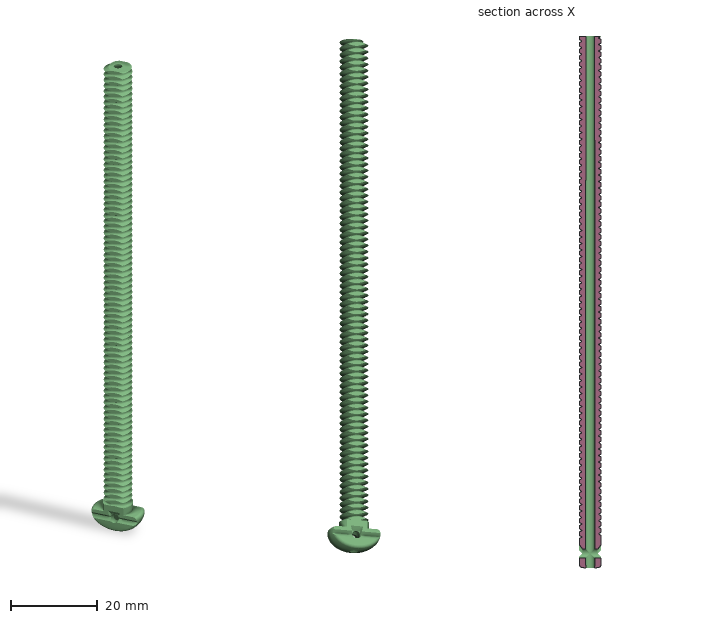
import cadquery as cq
import math

total_height = 122.5
body_width_y = 5.0
bore_diameter = 2.0

head_radius = 6.1
head_height = 5.0
rim_round = 0.7
dome_edge_round = 0.6

collar_radius = 3.49
collar_height = 1.8

thread_radius = 3.3
thread_angle = 60
segment_turns = 7
segment_count = 11
flank_steps = 12

groove_height = 3.4
groove_depth = 0.7
mouth_top = 5.4
mouth_half_width = 1.5

bore_radius = bore_diameter / 2
half_width = body_width_y / 2
collar_top = head_height + collar_height
thread_length = total_height - collar_top
segment_length = thread_length / segment_count
pitch = segment_length / segment_turns
root_radius = thread_radius - pitch / 2 / math.tan(math.radians(thread_angle / 2))


def make_slab():
    """Block as wide as the distance between the two flats."""
    return cq.Workplane("XY").box(2 * head_radius, body_width_y, total_height, centered=(True, True, False))


def make_head():
    """Elliptical dome below a disc with a rounded top edge, revolved about Z."""
    rim_height = head_height - rim_round
    bore_share = bore_radius / head_radius
    dome_depth = rim_height / math.sqrt(1 - bore_share**2)
    bore_edge_angle = -math.degrees(math.acos(bore_share))
    dome_edge = cq.Edge.makeEllipse(
        head_radius,
        dome_depth,
        pnt=cq.Vector(0, 0, rim_height),
        dir=cq.Vector(0, -1, 0),
        xdir=cq.Vector(1, 0, 0),
        angle1=bore_edge_angle,
        angle2=0,
    )
    upper_outline = (
        cq.Workplane("XZ")
        .moveTo(head_radius, rim_height)
        .radiusArc((head_radius - rim_round, head_height), -rim_round)
        .lineTo(0, head_height)
        .lineTo(0, 0)
        .lineTo(bore_radius, 0)
    )
    outline = cq.Wire.assembleEdges([dome_edge] + upper_outline.ctx.pendingEdges)
    return cq.Workplane(obj=cq.Solid.revolve(outline, [], 360, cq.Vector(0, 0, 0), cq.Vector(0, 0, 1)))


def make_collar():
    return cq.Workplane("XY").workplane(offset=head_height).circle(collar_radius).extrude(collar_height)


def make_groove(side):
    """V-shaped cutter running along X in one flat."""
    flat = side * half_width
    return (
        cq.Workplane("YZ")
        .moveTo(flat, groove_height - groove_depth)
        .lineTo(flat - side * groove_depth, groove_height)
        .lineTo(flat, groove_height + groove_depth)
        .close()
        .extrude(head_radius, both=True)
    )


def make_mouth(side):
    """Flare that opens the upper half of the cross hole towards one flat."""
    throat = [
        (-bore_radius, groove_height),
        (bore_radius, groove_height),
        (bore_radius, groove_height + bore_radius),
        (-bore_radius, groove_height + bore_radius),
    ]
    opening = [
        (-bore_radius, groove_height),
        (bore_radius, groove_height),
        (mouth_half_width, mouth_top),
        (-mouth_half_width, mouth_top),
    ]
    return (
        cq.Workplane("XZ", origin=(0, side * (half_width - groove_depth), 0))
        .polyline(throat)
        .close()
        .workplane(offset=-side * groove_depth)
        .polyline(opening)
        .close()
        .loft(ruled=True)
    )


def thread_section():
    """Level section of the V-thread: a cam running from root to crest and back in one turn."""

    def flank(side):
        points = []
        for step in range(flank_steps + 1):
            share = step / flank_steps
            radius = root_radius + (thread_radius - root_radius) * share
            angle = side * math.pi * (1 - share)
            points.append(cq.Vector(radius * math.cos(angle), radius * math.sin(angle)))
        return cq.Edge.makeSpline(points)

    return cq.Wire.assembleEdges([flank(1), flank(-1)])


def make_threaded_rod():
    """Flattened rod with a right-handed thread, sewn from copies of one segment of whole turns."""
    twisted = cq.Solid.extrudeLinearWithRotation(
        thread_section(), [], cq.Vector(0, 0, 0), cq.Vector(0, 0, segment_length), 360 * segment_turns
    )
    segment = cq.Workplane(obj=twisted).intersect(make_slab())
    skin = segment.faces("not(<Z or >Z)").vals()
    bottom_cap = segment.faces("<Z").val()
    top_cap = segment.faces(">Z").val()

    faces = [bottom_cap, top_cap.translate(cq.Vector(0, 0, thread_length - segment_length))]
    for index in range(segment_count):
        rise = cq.Vector(0, 0, index * segment_length)
        faces += [face.translate(rise) for face in skin]
    rod = cq.Solid.makeSolid(cq.Shell.makeShell(faces))
    return cq.Workplane(obj=rod.translate(cq.Vector(0, 0, collar_top)))


head = make_head().intersect(make_slab())
for side in (-1, 1):
    head = head.cut(make_groove(side))
for flat in ("<Y", ">Y"):
    head = head.faces(flat).edges("<Z").fillet(dome_edge_round)

body = head.union(make_collar().intersect(make_slab()))
cross_hole = cq.Workplane("XZ").center(0, groove_height).circle(bore_radius).extrude(half_width, both=True)
body = body.cut(cross_hole)
for side in (-1, 1):
    body = body.cut(make_mouth(side))

bore = cq.Workplane("XY").circle(bore_radius).extrude(total_height)
result = body.union(make_threaded_rod(), clean=False).cut(bore, clean=False).solids()